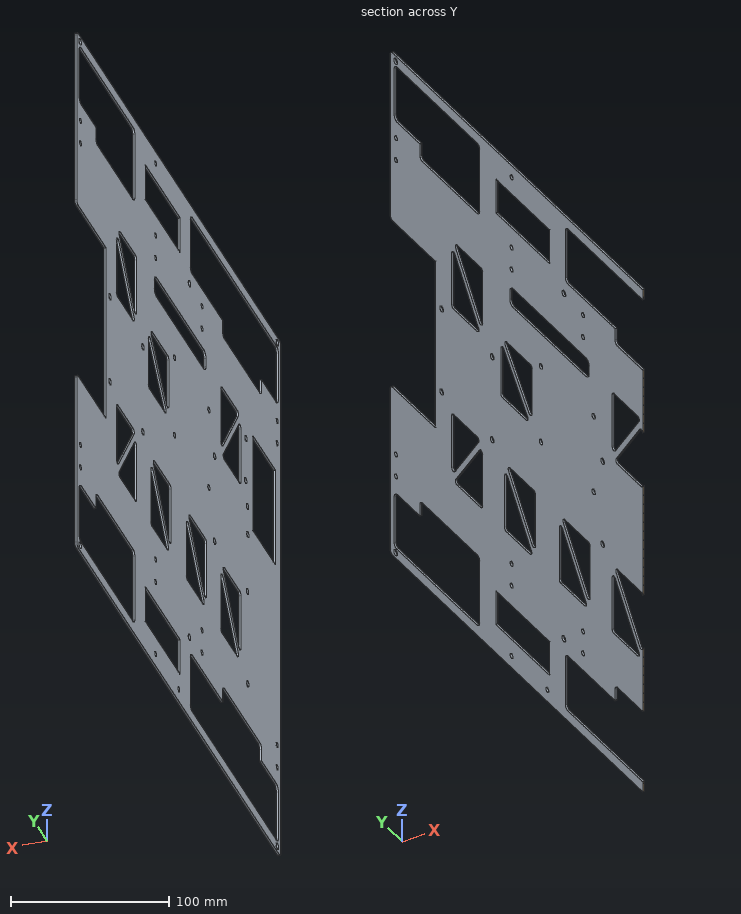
import cadquery as cq

THICKNESS = 1.5
WIDTH = 380.0
HEIGHT = 390.0
OUTER_RADIUS = 3.0
PICK_REACH = 0.5

NOTCH_DEPTH = 54.5
NOTCH_HEIGHT = 129.0

OPENING_SIDE = 185.15
OPENING_OUTER_END = 187.0
OPENING_SHALLOW_END = 144.5
OPENING_DEEP_END = 132.6
OPENING_RADIUS = 3.0
OPENING_LARGE_RADIUS = 4.0
DEEP_PART_INNER = 82.0
DEEP_PART_OUTER = 154.0
RIGHT_OPENING_INNER = 22.0

SMALL_WINDOW = (64.5, 26.0)
SMALL_WINDOW_CENTRE = (-29.8, 159.8)
SIDE_WINDOW = (41.5, 71.5)
SIDE_WINDOW_CENTRE = (159.0, 56.1)
SLOT = (95.6, 14.3)
SLOT_CENTRE = (2.6, 93.1)
SLOT_RADIUS = 4.0

BRACED_WINDOW = (37.0, 52.0)
BRACED_OUTER_COLUMN = 97.0
BRACED_INNER_COLUMN = 33.1
BRACED_ROW = 67.0
SHORT_BRACED_WINDOW = (37.5, 46.0)
SHORT_BRACED_CENTRE = (-37.4, 31.2)
STRUT_WIDTH = 4.1
BRACED_RADIUS = 2.0

CORNER_HOLE_DIAMETER = 4.2
CORNER_HOLE_ACROSS = 183.5
CORNER_HOLE_UP = 190.75
RAIL_HOLE_DIAMETER = 3.25
RAIL_HOLE_COLUMNS = (43.2, 183.0)
RAIL_HOLE_ROWS = (114.25, 131.25)
GRID_HOLE_DIAMETER = 4.0
GRID_HOLE_COLUMNS = (66.75, 127.9)
GRID_HOLE_ROW = 32.2
BOARD_HOLE_DIAMETER = 3.7
BOARD_HOLE_COLUMNS = (-7.75, 56.0)
BOARD_HOLE_ROWS = (1.9, 60.6)
EDGE_HOLE_DIAMETER = 3.25
EDGE_HOLE_ACROSS = -43.2
EDGE_HOLE_UP = 185.8
BOTTOM_HOLE_DIAMETER = 3.25
INNER_HOLE_DIAMETER = 4.2
INNER_HOLE_ACROSS = 20.0
INNER_HOLE_UP = 134.0
SIDE_HOLE_DIAMETER = 4.0
SIDE_HOLES = ((125.2, 82.0), (124.5, 49.7), (128.5, 11.3), (128.5, -101.9))


def sheet_plane():
    """Face of the sheet on the +X side, with local x along -Y, local y along +Z, normal along -X."""
    return cq.Workplane(cq.Plane(origin=(THICKNESS / 2, 0, 0), xDir=(0, -1, 0), normal=(-1, 0, 0)))


def prism(points):
    return sheet_plane().polyline(points).close().extrude(THICKNESS)


def round_corners(body, radius, corners):
    """Round the through-thickness edges that stand on the given (across, up) corners."""
    for across, up in corners:
        low = (-THICKNESS, -across - PICK_REACH, up - PICK_REACH)
        high = (THICKNESS, -across + PICK_REACH, up + PICK_REACH)
        box = cq.selectors.BoxSelector(low, high)
        body = body.edges("|X").edges(box).fillet(radius)
    return body


def mirror_down(body):
    """Add the mirror image below the horizontal centreline."""
    return body.union(body.mirror("XY"))


def sheet():
    left, right = -WIDTH / 2, WIDTH / 2
    bottom, top = -HEIGHT / 2, HEIGHT / 2
    notch_floor = left + NOTCH_DEPTH
    notch_top = NOTCH_HEIGHT / 2
    plate_corners = [(left, bottom), (right, bottom), (right, top), (left, top)]
    upper_lip = (left, notch_top)
    lower_lip = (left, -notch_top)
    notch_corners = [(notch_floor, notch_top), (notch_floor, -notch_top)]
    body = prism(plate_corners + [upper_lip] + notch_corners + [lower_lip])
    return round_corners(body, OUTER_RADIUS, plate_corners + [upper_lip, lower_lip])


def left_openings():
    shallow = (-OPENING_SIDE, OPENING_SHALLOW_END)
    tight_corners = [
        (-OPENING_SIDE, OPENING_OUTER_END),
        (-DEEP_PART_INNER, OPENING_OUTER_END),
        (-DEEP_PART_INNER, OPENING_DEEP_END),
        (-DEEP_PART_OUTER, OPENING_DEEP_END),
    ]
    step = (-DEEP_PART_OUTER, OPENING_SHALLOW_END)
    body = prism(tight_corners + [step, shallow])
    body = round_corners(body, OPENING_RADIUS, tight_corners)
    return mirror_down(round_corners(body, OPENING_LARGE_RADIUS, [shallow]))


def right_openings():
    shallow_outer = (OPENING_SIDE, OPENING_SHALLOW_END)
    shallow_inner = (RIGHT_OPENING_INNER, OPENING_SHALLOW_END)
    end_corners = [(RIGHT_OPENING_INNER, OPENING_OUTER_END), (OPENING_SIDE, OPENING_OUTER_END)]
    deep_corners = [(DEEP_PART_OUTER, OPENING_DEEP_END), (DEEP_PART_INNER, OPENING_DEEP_END)]
    outer_step = (DEEP_PART_OUTER, OPENING_SHALLOW_END)
    inner_step = (DEEP_PART_INNER, OPENING_SHALLOW_END)
    body = prism(end_corners + [shallow_outer, outer_step] + deep_corners + [inner_step, shallow_inner])
    body = round_corners(body, OPENING_RADIUS, end_corners + deep_corners + [shallow_inner])
    return mirror_down(round_corners(body, OPENING_LARGE_RADIUS, [shallow_outer]))


def rectangle(size, centre):
    return sheet_plane().center(*centre).rect(*size).extrude(THICKNESS)


def slot():
    return rectangle(SLOT, SLOT_CENTRE).edges("|X").fillet(SLOT_RADIUS)


def braced_window(size, centre, lean):
    """Two rounded triangles left by a strut along the diagonal of a rectangle.

    The strut runs from top left to bottom right for lean = 1, and the other way for lean = -1.
    """
    half_width, half_height = size[0] / 2, size[1] / 2
    half_diagonal = (half_width**2 + half_height**2) ** 0.5
    trim_across = STRUT_WIDTH / 2 * half_diagonal / half_height
    trim_up = STRUT_WIDTH / 2 * half_diagonal / half_width
    upper_triangle = (
        (half_width, half_height),
        (-half_width + trim_across, half_height),
        (half_width, -half_height + trim_up),
    )
    triangles = []
    for side in (1, -1):
        corners = [
            (centre[0] + side * lean * across, centre[1] + side * up)
            for across, up in upper_triangle
        ]
        triangles.append(prism(corners).edges("|X").fillet(BRACED_RADIUS))
    return triangles[0].union(triangles[1])


def braced_windows():
    outer, inner, row = BRACED_OUTER_COLUMN, BRACED_INNER_COLUMN, BRACED_ROW
    layout = [
        (-outer, row, 1),
        (outer, row, -1),
        (-outer, -row, -1),
        (-inner, -row, 1),
        (inner, -row, 1),
        (outer, -row, 1),
    ]
    windows = braced_window(SHORT_BRACED_WINDOW, SHORT_BRACED_CENTRE, 1)
    for across, up, lean in layout:
        windows = windows.union(braced_window(BRACED_WINDOW, (across, up), lean))
    return windows


def holes(diameter, points):
    return sheet_plane().pushPoints(points).circle(diameter / 2).extrude(THICKNESS)


def mirrored(columns, rows):
    """Points at every column and row, on both sides of both centrelines."""
    return [
        (across_sign * across, up_sign * up)
        for across in columns
        for up in rows
        for across_sign in (1, -1)
        for up_sign in (1, -1)
    ]


def all_holes():
    board_points = [(across, up) for across in BOARD_HOLE_COLUMNS for up in BOARD_HOLE_ROWS]
    edge_points = [(EDGE_HOLE_ACROSS, EDGE_HOLE_UP), (EDGE_HOLE_ACROSS, -EDGE_HOLE_UP)]
    inner_points = [(INNER_HOLE_ACROSS, INNER_HOLE_UP), (INNER_HOLE_ACROSS, -INNER_HOLE_UP)]
    groups = [
        (CORNER_HOLE_DIAMETER, mirrored([CORNER_HOLE_ACROSS], [CORNER_HOLE_UP])),
        (RAIL_HOLE_DIAMETER, mirrored(RAIL_HOLE_COLUMNS, RAIL_HOLE_ROWS)),
        (GRID_HOLE_DIAMETER, mirrored(GRID_HOLE_COLUMNS, [GRID_HOLE_ROW])),
        (BOARD_HOLE_DIAMETER, board_points),
        (EDGE_HOLE_DIAMETER, edge_points),
        (BOTTOM_HOLE_DIAMETER, [(0, -EDGE_HOLE_UP)]),
        (INNER_HOLE_DIAMETER, inner_points),
        (SIDE_HOLE_DIAMETER, SIDE_HOLES),
    ]
    return [holes(diameter, points) for diameter, points in groups]


cutters = [
    left_openings(),
    right_openings(),
    mirror_down(rectangle(SMALL_WINDOW, SMALL_WINDOW_CENTRE)),
    rectangle(SIDE_WINDOW, SIDE_WINDOW_CENTRE),
    slot(),
    braced_windows(),
] + all_holes()

result = sheet()
for cutter in cutters:
    result = result.cut(cutter)